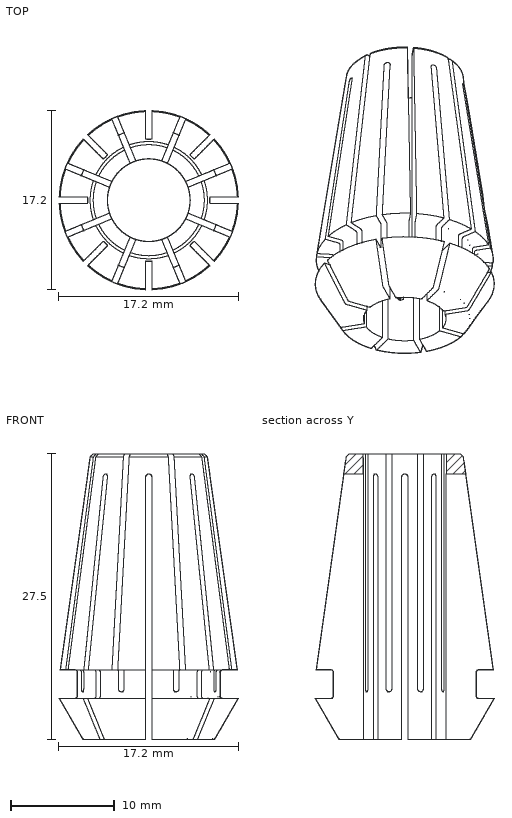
import cadquery as cq
import math

LENGTH = 27.5
BORE_DIAMETER = 7.94

NOSE_HEIGHT = 3.97
NOSE_RADIUS = 8.625
NOSE_HALF_ANGLE = 30.0
NOSE_EDGE_FILLET = 0.2

GROOVE_RADIUS = 6.9
GROOVE_TOP_Z = 6.7
GROOVE_FILLET = 0.2

TAPER_RADIUS = 8.53
TAPER_HALF_ANGLE = 8.0
TOP_CHAMFER = 0.3

SLOT_WIDTH = 0.6
SLOTS_PER_SET = 8
LOWER_SLOT_TOP_Z = 25.55
UPPER_SLOT_BOTTOM_Z = 4.6

SLOT_PITCH = 360.0 / SLOTS_PER_SET
CUT_MARGIN = 1.0
CUT_RADIUS = NOSE_RADIUS + CUT_MARGIN


def collet_body():
    """Solid of revolution about Z, with the bore through it."""
    bore_radius = BORE_DIAMETER / 2
    nose_end_radius = NOSE_RADIUS - NOSE_HEIGHT * math.tan(math.radians(NOSE_HALF_ANGLE))
    shoulder_z = LENGTH - TOP_CHAMFER
    taper_height = shoulder_z - GROOVE_TOP_Z
    shoulder_radius = TAPER_RADIUS - taper_height * math.tan(math.radians(TAPER_HALF_ANGLE))

    profile = (
        cq.Workplane("XZ")
        .moveTo(bore_radius, 0)
        .lineTo(nose_end_radius, 0)
        .lineTo(NOSE_RADIUS, NOSE_HEIGHT)
        .lineTo(GROOVE_RADIUS + GROOVE_FILLET, NOSE_HEIGHT)
        .radiusArc((GROOVE_RADIUS, NOSE_HEIGHT + GROOVE_FILLET), GROOVE_FILLET)
        .lineTo(GROOVE_RADIUS, GROOVE_TOP_Z - GROOVE_FILLET)
        .radiusArc((GROOVE_RADIUS + GROOVE_FILLET, GROOVE_TOP_Z), GROOVE_FILLET)
        .lineTo(TAPER_RADIUS, GROOVE_TOP_Z)
        .lineTo(shoulder_radius, shoulder_z)
        .lineTo(shoulder_radius - TOP_CHAMFER, LENGTH)
        .lineTo(bore_radius, LENGTH)
        .close()
    )
    body = profile.revolve(360, (0, 0, 0), (0, 1, 0))
    nose_end_edge = body.faces("<Z").edges(cq.selectors.RadiusNthSelector(-1))
    return nose_end_edge.fillet(NOSE_EDGE_FILLET)


def radial_slot(open_z, round_end_z, angle):
    """Cutter running outward from the axis, open at one end and rounded at the other."""
    half_width = SLOT_WIDTH / 2
    direction = math.copysign(1, round_end_z - open_z)
    arc_z = round_end_z - direction * half_width
    return (
        cq.Workplane("YZ")
        .moveTo(-half_width, open_z)
        .lineTo(-half_width, arc_z)
        .threePointArc((0, round_end_z), (half_width, arc_z))
        .lineTo(half_width, open_z)
        .close()
        .extrude(CUT_RADIUS)
        .rotate((0, 0, 0), (0, 0, 1), angle)
    )


def cut_slots(body):
    """Cut both slot sets, the upper ones halfway between the lower ones."""
    for index in range(SLOTS_PER_SET):
        lower_angle = index * SLOT_PITCH
        upper_angle = lower_angle + SLOT_PITCH / 2
        body = body.cut(radial_slot(-CUT_MARGIN, LOWER_SLOT_TOP_Z, lower_angle))
        body = body.cut(radial_slot(LENGTH + CUT_MARGIN, UPPER_SLOT_BOTTOM_Z, upper_angle))
    return body


result = cut_slots(collet_body())